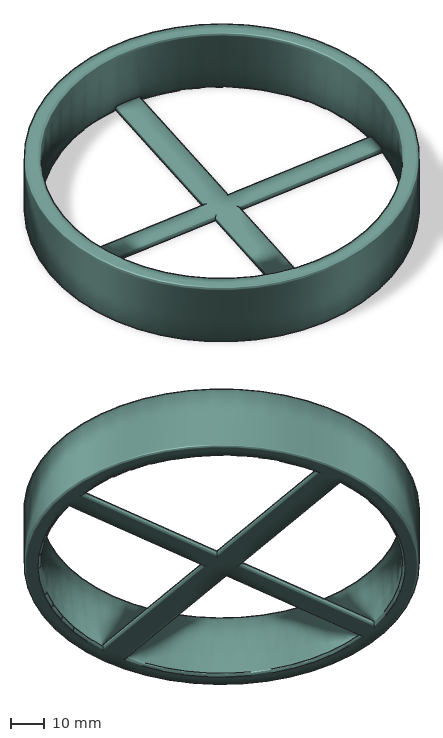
import cadquery as cq

outer_diameter = 117.5
bore_diameter = 107.5
ring_height = 22.0
top_rim_radius = 1.0

x_spoke_width = 8.7
y_spoke_width = 6.9
spoke_thickness = 2.0

base_edge_radius = 0.8


def make_ring():
    """Round band with its upper and lower rims rounded."""
    band = cq.Workplane("XY").circle(outer_diameter / 2).circle(bore_diameter / 2).extrude(ring_height)
    band = band.faces(">Z").edges().fillet(top_rim_radius)
    return band.faces("<Z").edges().fillet(base_edge_radius)


def make_cross():
    """Two crossed bars with rounded long edges, trimmed to end inside the band."""
    mid_wall_diameter = (outer_diameter + bore_diameter) / 2
    x_bar = cq.Workplane("XY").rect(outer_diameter, x_spoke_width).extrude(spoke_thickness)
    y_bar = cq.Workplane("XY").rect(y_spoke_width, outer_diameter).extrude(spoke_thickness)
    cross = x_bar.union(y_bar).faces("<Z or >Z").edges().fillet(base_edge_radius)
    limit = cq.Workplane("XY").circle(mid_wall_diameter / 2).extrude(spoke_thickness)
    return cross.intersect(limit)


result = make_ring().union(make_cross())